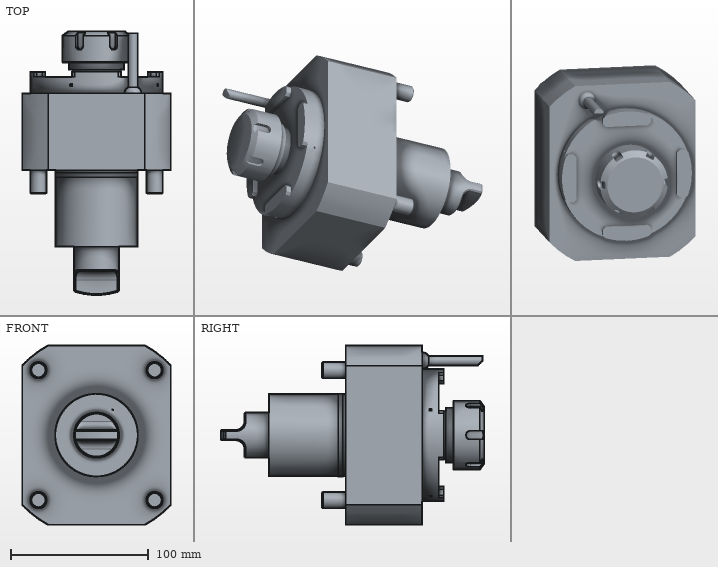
import cadquery as cq


overrun = 2.0

body_width = 108.0
body_height = 130.0
body_length = 55.5
body_corner_radius = 73.9

screw_diameter = 12.0
screw_length = 17.2
screw_chamfer = 1.0
screw_spacing_x = 84.2
screw_spacing_z = 94.2

shank_diameter = 59.7
shank_length = 55.5
ring_diameter = 60.1
ring_start = 2.0
ring_width = 3.3

tang_diameter = 33.0
tang_end = 90.7
tang_shoulder = 73.3
tang_thickness = 7.7
tang_root_radius = 6.1
tang_end_radius = 49.8
tang_chamfer = 1.0

flange_diameter = 96.0
flange_length = 12.0
lug_height = 3.6
lug_inner = 37.1
lug_shoulder = 45.5
lug_half_width = 17.8
lug_corner = 2.1
lug_count = 4
pin_hole_diameter = 1.7
pin_hole_depth = 2.0
pin_hole_height = 6.1
pin_hole_angle = 22.6

neck_diameter = 34.8
collar_diameter = 40.0
collar_start = 72.7
nut_diameter = 50.0
nut_start = 77.9
nut_end = 100.7
nut_front_chamfer_axial = 3.3
nut_front_chamfer_radial = 4.5
nut_back_chamfer = 0.5
nut_slot_width = 6.3
nut_slot_length = 13.4
nut_slot_floor_radius = 21.8
nut_slot_count = 6

tube_diameter = 7.0
tube_end = 99.3
tube_x = 26.5
tube_z = 54.0
tube_bevel = 3.6
tube_ball_diameter = 12.6
tube_ball_sink = 0.5


def cylinder(diameter, start, end, x=0, z=0):
    """Cylinder along +Y between two Y positions, start < end."""
    plane = cq.Workplane("XZ", origin=(x, start, z))
    return plane.circle(diameter / 2).extrude(start - end)


def turn_about_axis(shape, angle):
    return shape.rotate((0, 0, 0), (0, 1, 0), angle)


def make_body():
    block = cq.Workplane("XY").box(body_width, body_length, body_height)
    block = block.translate((0, body_length / 2, 0))
    return block.intersect(cylinder(2 * body_corner_radius, 0, body_length))


def make_screws():
    screw = cylinder(screw_diameter, -screw_length, 0).faces("<Y").chamfer(screw_chamfer)
    screws = cq.Workplane("XY")
    for side_x in (-1, 1):
        for side_z in (-1, 1):
            place = (side_x * screw_spacing_x / 2, 0, side_z * screw_spacing_z / 2)
            screws = screws.add(screw.translate(place))
    return screws.combine()


def make_shank():
    shank = cylinder(shank_diameter, -shank_length, 0)
    ring = cylinder(ring_diameter, -ring_start - ring_width, -ring_start)
    return shank.union(ring)


def make_tang():
    """Round stub milled to a flat blade with filleted roots and a domed end."""
    tang = cylinder(tang_diameter, -tang_end, -shank_length)
    radius = tang_diameter / 2
    half_blade = tang_thickness / 2
    blade_start = tang_shoulder + tang_root_radius
    relief = (
        cq.Workplane("YZ")
        .moveTo(-tang_shoulder, radius + overrun)
        .lineTo(-tang_shoulder, half_blade + tang_root_radius)
        .radiusArc((-blade_start, half_blade), tang_root_radius)
        .lineTo(-tang_end - overrun, half_blade)
        .lineTo(-tang_end - overrun, radius + overrun)
        .close()
        .extrude(radius + overrun, both=True)
    )
    tang = tang.cut(relief).cut(relief.mirror("XY"))
    dome = (
        cq.Workplane("XY")
        .center(0, tang_end_radius - tang_end)
        .circle(tang_end_radius)
        .extrude(radius, both=True)
    )
    tang = tang.intersect(dome)
    rim_edges = tang.edges("not (|X or >Y)")
    return rim_edges.chamfer(tang_chamfer)


def make_flange():
    """Disc with lugs left standing on its face and radial pin holes in its rim."""
    face = body_length + flange_length
    top = face + lug_height
    flange = cylinder(flange_diameter, body_length, top)
    gaps = cylinder(flange_diameter + overrun, face, top)
    lug_half_outline = [
        (lug_inner, lug_half_width - lug_corner),
        (lug_inner + lug_corner, lug_half_width),
        (lug_shoulder - lug_corner, lug_half_width),
        (lug_shoulder, lug_half_width - lug_corner),
        (flange_diameter / 2 + overrun, lug_half_width - lug_corner),
    ]
    mirrored = [(x, -z) for x, z in reversed(lug_half_outline)]
    lug = (
        cq.Workplane("XZ", origin=(0, face, 0))
        .polyline(lug_half_outline + mirrored)
        .close()
        .extrude(-lug_height)
    )
    pin_hole = (
        cq.Workplane("YZ", origin=(flange_diameter / 2 - pin_hole_depth, 0, 0))
        .center(body_length + pin_hole_height, 0)
        .circle(pin_hole_diameter / 2)
        .extrude(2 * pin_hole_depth)
    )
    for index in range(lug_count):
        angle = index * 360 / lug_count
        gaps = gaps.cut(turn_about_axis(lug, angle))
        flange = flange.cut(turn_about_axis(pin_hole, angle - pin_hole_angle))
    return flange.cut(gaps)


def make_nut():
    """Clamping nut with wrench slots that run out at its front face."""
    radius = nut_diameter / 2
    nut = (
        cq.Workplane("XY")
        .moveTo(0, nut_start)
        .lineTo(radius - nut_back_chamfer, nut_start)
        .lineTo(radius, nut_start + nut_back_chamfer)
        .lineTo(radius, nut_end - nut_front_chamfer_axial)
        .lineTo(radius - nut_front_chamfer_radial, nut_end)
        .lineTo(0, nut_end)
        .close()
        .revolve(360, (0, 0, 0), (0, 1, 0))
    )
    half_slot = nut_slot_width / 2
    slot_bottom = nut_end - nut_slot_length
    slot = (
        cq.Workplane("YZ", origin=(nut_slot_floor_radius, 0, 0))
        .moveTo(nut_end + overrun, -half_slot)
        .lineTo(slot_bottom + half_slot, -half_slot)
        .threePointArc((slot_bottom, 0), (slot_bottom + half_slot, half_slot))
        .lineTo(nut_end + overrun, half_slot)
        .close()
        .extrude(radius)
    )
    for index in range(nut_slot_count):
        nut = nut.cut(turn_about_axis(slot, index * 360 / nut_slot_count))
    return nut


def make_spindle():
    neck = cylinder(neck_diameter, body_length, collar_start)
    collar = cylinder(collar_diameter, collar_start, nut_start)
    return neck.union(collar).union(make_nut())


def make_coolant_tube():
    """Tube on a ball seat, its tip bevelled on the side facing the spindle axis."""
    tube = cylinder(tube_diameter, body_length, tube_end, tube_x, tube_z)
    bottom = tube_z - tube_diameter / 2
    bevel_corners = [
        (tube_end, bottom),
        (tube_end, bottom + tube_bevel),
        (tube_end - tube_bevel, bottom),
    ]
    bevel = (
        cq.Workplane("YZ", origin=(tube_x, 0, 0))
        .polyline(bevel_corners)
        .close()
        .extrude(tube_diameter, both=True)
    )
    ball_center = (tube_x, body_length - tube_ball_sink, tube_z)
    ball = cq.Workplane("XY").sphere(tube_ball_diameter / 2).translate(ball_center)
    return tube.cut(bevel).union(ball)


result = make_body()
sections = (
    make_screws(),
    make_shank(),
    make_tang(),
    make_flange(),
    make_spindle(),
    make_coolant_tube(),
)
for section in sections:
    result = result.union(section)